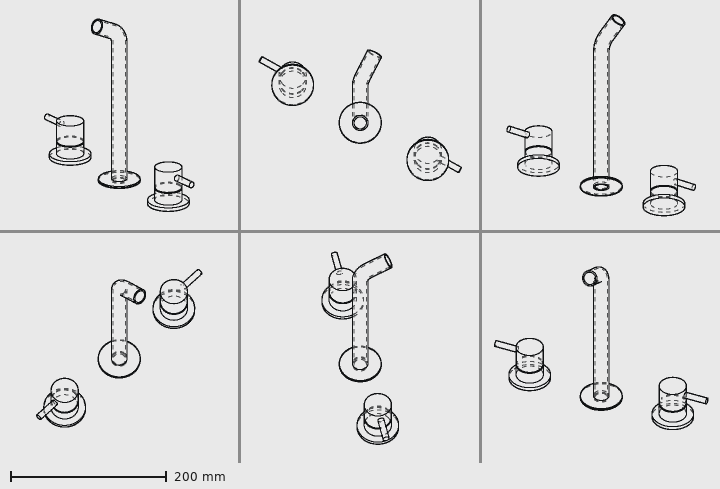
import cadquery as cq
import math

overall_width = 295.0
handle_spacing = 200.0

handle_height = 50.7
handle_diameter = 35.0
handle_flange_diameter = 53.7
handle_flange_thickness = 5.0
groove_height = 21.2
groove_width = 1.2
groove_depth = 0.5
lever_diameter = 8.0
lever_height = 41.0

spout_height = 232.0
spout_reach = 41.3
tube_diameter = 20.0
tube_wall = 2.0
bend_radius = 20.0
bend_angle = 63.0

spout_flange_diameter = 54.3
spout_flange_thickness = 2.7
spout_flange_rim_height = 1.0
spout_flange_rim_width = 0.3

tube_radius = tube_diameter / 2
bend_sin = math.sin(math.radians(bend_angle))
bend_cos = math.cos(math.radians(bend_angle))
half_bend = math.radians(bend_angle / 2)
bend_reach = bend_radius * (1 - bend_cos)
bend_rise = bend_radius * bend_sin
outlet_length = (spout_reach - bend_reach - tube_radius * bend_cos) / bend_sin
riser_top = spout_height - bend_rise - outlet_length * bend_cos - tube_radius * bend_sin


def make_handle(side):
    """Flanged, grooved handle with a lever pointing outward; side is -1 or +1 along X."""
    axis_x = side * handle_spacing / 2
    base = cq.Workplane("XY").center(axis_x, 0)
    flange = base.circle(handle_flange_diameter / 2).extrude(handle_flange_thickness)
    barrel = base.circle(handle_diameter / 2).extrude(handle_height)
    groove = (
        base.workplane(offset=groove_height)
        .circle(handle_diameter / 2)
        .circle(handle_diameter / 2 - groove_depth)
        .extrude(groove_width)
    )
    lever_length = (overall_width - handle_spacing) / 2
    lever = (
        cq.Workplane("YZ", origin=(axis_x, 0, lever_height))
        .circle(lever_diameter / 2)
        .extrude(side * lever_length)
    )
    return flange.union(barrel.cut(groove)).union(lever)


def make_spout():
    """Bent tube: vertical riser, circular bend and straight inclined outlet."""
    bend_middle = (
        -bend_radius * (1 - math.cos(half_bend)),
        riser_top + bend_radius * math.sin(half_bend),
    )
    bend_end = (-bend_reach, riser_top + bend_rise)
    mouth = (bend_end[0] - outlet_length * bend_sin, bend_end[1] + outlet_length * bend_cos)
    centreline = (
        cq.Workplane("YZ")
        .lineTo(0, riser_top)
        .threePointArc(bend_middle, bend_end)
        .lineTo(*mouth)
    )
    return (
        cq.Workplane("XY")
        .circle(tube_radius)
        .circle(tube_radius - tube_wall)
        .sweep(centreline)
    )


def make_spout_flange():
    """Thin disc around the foot of the spout, with a slightly wider rim at its base."""
    rim_radius = spout_flange_diameter / 2
    rim = cq.Workplane("XY").circle(rim_radius).extrude(spout_flange_rim_height)
    disc = (
        cq.Workplane("XY")
        .circle(rim_radius - spout_flange_rim_width)
        .extrude(spout_flange_thickness)
    )
    return disc.union(rim).faces("<Z").workplane().hole(tube_diameter)


handles = [make_handle(side) for side in (-1, 1)]
spout = make_spout()
spout_flange = make_spout_flange()

result = cq.Compound.makeCompound(
    [*(handle.val() for handle in handles), spout.val(), spout_flange.val()]
)